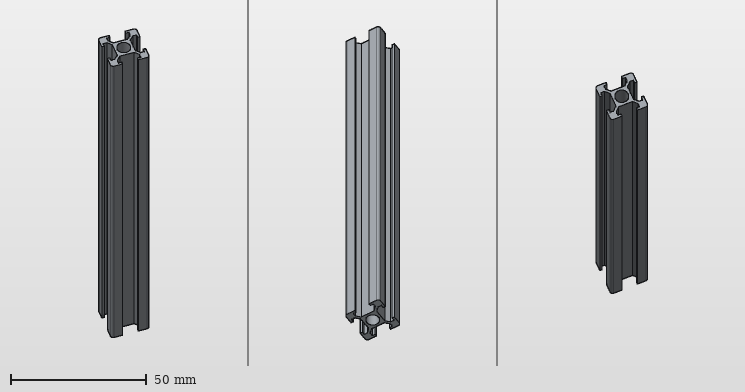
import cadquery as cq

side = 15.0
length = 150.0
corner_radius = 1.0
bore_diameter = 5.1

slot_opening = 6.2
lip_thickness = 0.98
cavity_width = 8.7
core_width = 7.0
web_offset = 0.8

half_side = side / 2
half_opening = slot_opening / 2
half_cavity = cavity_width / 2
half_core = core_width / 2
lip_inner = half_side - lip_thickness


def slot_cutter():
    """T-slot on the +Y side, tapering along the diagonal webs to the core."""
    right_half = [
        (half_opening, half_side),
        (half_opening, lip_inner),
        (half_cavity, lip_inner),
        (half_cavity, half_cavity + web_offset),
        (half_core - web_offset, half_core),
    ]
    left_half = [(-x, y) for x, y in reversed(right_half)]
    return cq.Workplane("XY").polyline(right_half + left_half).close().extrude(length)


result = cq.Workplane("XY").rect(side, side).extrude(length)
result = result.edges("|Z").fillet(corner_radius)

for quarter_turn in range(4):
    cutter = slot_cutter().rotate((0, 0, 0), (0, 0, 1), 90 * quarter_turn)
    result = result.cut(cutter)

result = result.faces(">Z").workplane().hole(bore_diameter)